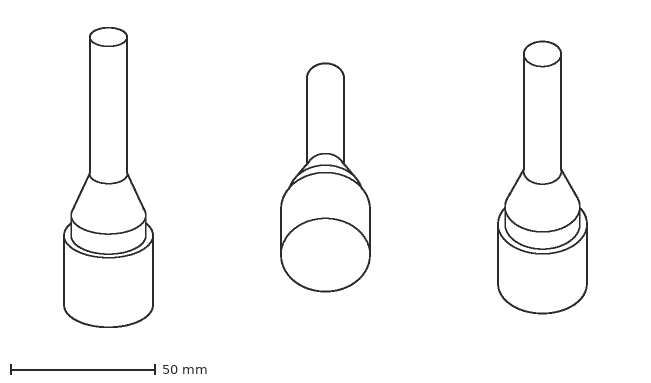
import cadquery as cq

total_height = 107.5
base_diameter = 31.0
collar_diameter = 26.0
stem_diameter = 13.0

base_top = 28.0
collar_top = 36.0
cone_top = 52.5

base_radius = base_diameter / 2
collar_radius = collar_diameter / 2
stem_radius = stem_diameter / 2

half_section = (
    cq.Workplane("XZ")
    .moveTo(0, 0)
    .lineTo(base_radius, 0)
    .lineTo(base_radius, base_top)
    .lineTo(collar_radius, base_top)
    .lineTo(collar_radius, collar_top)
    .lineTo(stem_radius, cone_top)
    .lineTo(stem_radius, total_height)
    .lineTo(0, total_height)
    .close()
)

result = half_section.revolve(360, (0, 0, 0), (0, 1, 0))